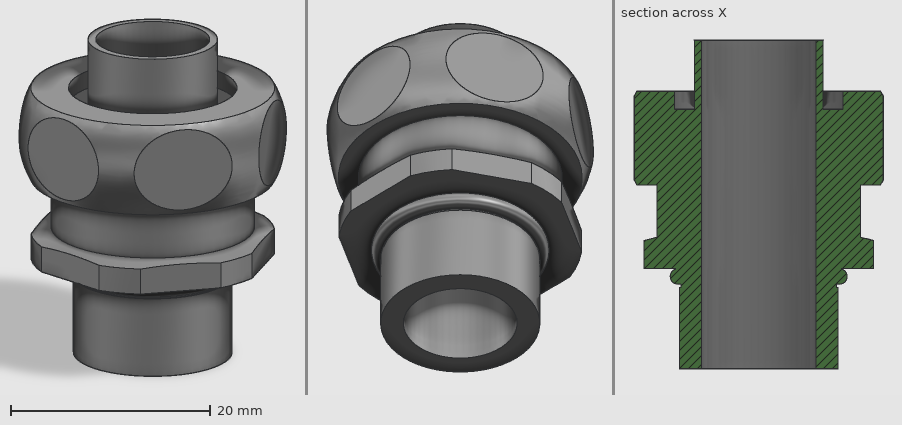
import cadquery as cq

spigot_top = 8.2
flange_bottom = 10.05
flange_rim_top = 12.7
flange_top = 13.23
nut_bottom = 18.45
nut_top = 27.9
total_height = 33.0

bore_radius = 5.7
tube_radius = 6.5
neck_radius = 7.82
spigot_radius = 8.0
recess_radius = 8.45
seal_radius = 8.9
collar_radius = 10.23
flange_radius = 12.25
nut_end_radius = 12.25
nut_belly_radius = 13.5

flange_across_flats = 23.05
nut_across_flats = 25.0
recess_depth = 1.8
seal_thickness = 1.6


def cylinder(radius, bottom, top):
    return cq.Workplane("XY").workplane(offset=bottom).circle(radius).extrude(top - bottom)


def hexagon(across_flats, bottom, top):
    """Hexagonal prism with two corners on the X axis."""
    return (
        cq.Workplane("XY")
        .workplane(offset=bottom)
        .polygon(6, across_flats, circumscribed=True)
        .extrude(top - bottom)
        .rotate((0, 0, 0), (0, 0, 1), 30)
    )


def revolve_about_z(profile):
    """Solid of revolution from a profile drawn on the YZ plane."""
    return profile.close().revolve(360, (0, 0, 0), (0, 1, 0))


def make_flange():
    """Hexagonal flange with turned corners and a conical top."""
    turned = revolve_about_z(
        cq.Workplane("YZ")
        .moveTo(0, flange_bottom)
        .lineTo(flange_radius, flange_bottom)
        .lineTo(flange_radius, flange_rim_top)
        .lineTo(collar_radius, flange_top)
        .lineTo(0, flange_top)
    )
    return turned.intersect(hexagon(flange_across_flats, flange_bottom, flange_top))


def make_nut():
    """Barrel-shaped nut with six flats and a round recess in its top."""
    barrel = revolve_about_z(
        cq.Workplane("YZ")
        .moveTo(0, nut_bottom)
        .lineTo(nut_end_radius, nut_bottom)
        .threePointArc(
            (nut_belly_radius, (nut_bottom + nut_top) / 2),
            (nut_end_radius, nut_top),
        )
        .lineTo(0, nut_top)
    )
    nut = barrel.intersect(hexagon(nut_across_flats, nut_bottom, nut_top))
    return nut.cut(cylinder(recess_radius, nut_top - recess_depth, nut_top))


def make_seal():
    """Sealing ring with a round outer edge, resting against the flange."""
    seal_bottom = flange_bottom - seal_thickness
    edge_radius = seal_thickness / 2
    edge_centre = seal_radius - edge_radius
    return revolve_about_z(
        cq.Workplane("YZ")
        .moveTo(0, seal_bottom)
        .lineTo(edge_centre, seal_bottom)
        .threePointArc((seal_radius, seal_bottom + edge_radius), (edge_centre, flange_bottom))
        .lineTo(0, flange_bottom)
    )


spigot = cylinder(spigot_radius, 0, spigot_top)
neck = cylinder(neck_radius, spigot_top, flange_bottom)
collar = cylinder(collar_radius, flange_top, nut_bottom)
tube = cylinder(tube_radius, nut_bottom, total_height)
bore = cylinder(bore_radius, 0, total_height)

result = (
    spigot.union(neck)
    .union(make_seal())
    .union(make_flange())
    .union(collar)
    .union(make_nut())
    .union(tube)
    .cut(bore)
)